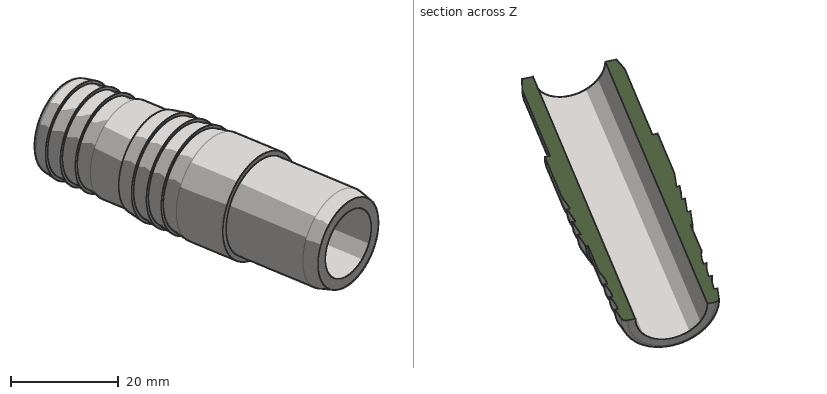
import cadquery as cq
import math

total_length = 67.0
barb_pitch = 3.5
barbs_per_group = 4
neck_length = 7.05
collar_length = 11.0
lead_in_length = 3.0

hose_radius = 10.0
collar_radius = 11.0
bore_radius = 7.0
barb_angle = 10.0
lead_in_angle = 15.0
nose_fillet = 1.0

barb_depth = barb_pitch * math.tan(math.radians(barb_angle))
lead_in_depth = lead_in_length * math.tan(math.radians(lead_in_angle))
group_length = barbs_per_group * barb_pitch
large_barbs_start = group_length + neck_length
collar_end = large_barbs_start + group_length + collar_length
left_end = -total_length / 2


def straight_barb(profile, start, crest_radius):
    """Step to the barb root, then rise in a straight line to the crest."""
    root_radius = crest_radius - barb_depth
    return profile.lineTo(start, root_radius).lineTo(start + barb_pitch, crest_radius)


def hollow_barb(profile, start, crest_radius):
    """Step to the barb root, then rise along a concave arc to the crest."""
    root_radius = crest_radius - barb_depth
    arc_radius = (barb_pitch**2 + barb_depth**2) / (2 * barb_depth)
    middle_x = barb_pitch / 2
    middle_rise = arc_radius - math.sqrt(arc_radius**2 - middle_x**2)
    return profile.lineTo(start, root_radius).threePointArc(
        (start + middle_x, root_radius + middle_rise),
        (start + barb_pitch, crest_radius),
    )


profile = cq.Workplane("XY").moveTo(0, 0)
profile = straight_barb(profile, 0, hose_radius)
for index in range(1, barbs_per_group):
    profile = hollow_barb(profile, index * barb_pitch, hose_radius)
profile = profile.lineTo(large_barbs_start, hose_radius)
for index in range(barbs_per_group):
    profile = straight_barb(profile, large_barbs_start + index * barb_pitch, collar_radius)
profile = (
    profile.lineTo(collar_end, collar_radius)
    .lineTo(collar_end, hose_radius)
    .lineTo(total_length - lead_in_length, hose_radius)
    .lineTo(total_length, hose_radius - lead_in_depth)
    .lineTo(total_length, 0)
    .close()
)
body = profile.revolve(360, (0, 0, 0), (1, 0, 0))

body = body.faces("<X").edges().fillet(nose_fillet)

bore = cq.Workplane("YZ").circle(bore_radius).extrude(total_length)

result = body.cut(bore).translate((left_end, 0, 0))